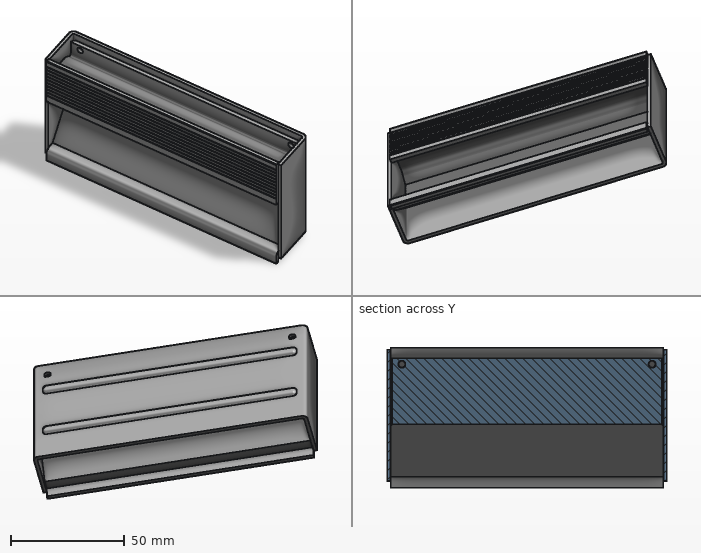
import cadquery as cq
import math


length = 123.7
bracket_height = 58.1
bracket_depth = 22.0
sheet = 1.6
bend_outer_radius = 2.4
bend_inner_radius = bend_outer_radius - sheet

rib_height = 1.6
rib_radius = 2.7
rib_end_radius = 1.7
rib_length = 114.8
rib_spacing = 26.0

profile_length = length - 2 * sheet
wall = 2.0
front_y = -23.6
profile_bottom = -3.0
profile_height = 62.0
profile_top = profile_bottom + profile_height
edge_chamfer = 0.31

rear_y = -sheet
rear_face_y = rear_y - wall
rear_top = 54.4
rear_corner_chamfer = 1.5

shelf_top = 48.6
valley_radius = 0.9
crest_radius = 6.9
crest_angle = math.radians(45)

panel_height = 25.0
panel_bottom = profile_top - panel_height
panel_back_y = front_y + wall
groove_count = 5
groove_width = 2.0
groove_pitch = 4.0
groove_depth = 0.31
first_groove_drop = 3.5

slope_top = 27.2
slope_foot_y = -18.4
lip_top = 4.0
lip_radius = 3.0

hole_diameter = 3.0
hole_spacing = 110.6
hole_z = 51.7


def make_rib(z):
    """Part of a round-ended bar at height z that stands proud of the back face."""
    bar = (
        cq.Workplane("YZ", origin=(0, rib_height - rib_radius, z))
        .circle(rib_radius)
        .extrude(rib_length / 2, both=True)
        .edges("%CIRCLE")
        .fillet(rib_end_radius)
    )
    proud_space = cq.Workplane("XY", origin=(0, rib_radius, z)).box(length, 2 * rib_radius, 3 * rib_radius)
    return bar.intersect(proud_space)


def make_hole_cutter():
    """Pair of cylinders through the rear wall and the back plate."""
    return (
        cq.Workplane("XZ", origin=(0, 0, hole_z))
        .pushPoints([(-hole_spacing / 2, 0), (hole_spacing / 2, 0)])
        .circle(hole_diameter / 2)
        .extrude(sheet + wall)
    )


def make_bracket():
    outer = (
        cq.Workplane("XY", origin=(0, -bracket_depth / 2, 0))
        .rect(length, bracket_depth)
        .extrude(bracket_height)
        .edges("|Z and >Y")
        .fillet(bend_outer_radius)
    )
    inside_depth = bracket_depth - sheet
    inner = (
        cq.Workplane("XY", origin=(0, -sheet - inside_depth / 2, 0))
        .rect(profile_length, inside_depth)
        .extrude(bracket_height)
        .edges("|Z and >Y")
        .fillet(bend_inner_radius)
    )
    bracket = outer.cut(inner)
    for side in (-1, 1):
        bracket = bracket.union(make_rib(bracket_height / 2 + side * rib_spacing / 2))
    return bracket.cut(make_hole_cutter())


def extrude_profile(sketch):
    """Extrude a closed YZ outline along the length, centred on X = 0."""
    return sketch.close().extrude(profile_length / 2, both=True)


def make_rear_wall_and_lip():
    """Rear wall, sloped face and front lip as one bent strip of constant thickness."""
    slope_angle = math.atan2(rear_face_y - slope_foot_y, slope_top - lip_top)
    rear_bend_drop = wall * math.tan(slope_angle / 2)
    foot_shift = wall * math.tan((math.pi / 2 - slope_angle) / 2)
    lip_arc_mid = lip_radius * (1 - math.sin(math.pi / 4))
    return extrude_profile(
        cq.Workplane("YZ")
        .moveTo(rear_y, rear_top)
        .lineTo(rear_face_y, rear_top)
        .lineTo(rear_face_y, slope_top)
        .lineTo(slope_foot_y, lip_top)
        .lineTo(front_y + lip_radius, lip_top)
        .threePointArc(
            (front_y + lip_arc_mid, lip_top - lip_arc_mid),
            (front_y, lip_top - lip_radius),
        )
        .lineTo(front_y, profile_bottom + edge_chamfer)
        .lineTo(front_y + edge_chamfer, profile_bottom)
        .lineTo(panel_back_y, profile_bottom)
        .lineTo(panel_back_y, lip_top - wall)
        .lineTo(slope_foot_y + foot_shift, lip_top - wall)
        .lineTo(rear_y, slope_top - rear_bend_drop)
    )


def make_shelf():
    """Shelf with a rounded valley against the rear wall and a rounded crest in front of it."""
    valley_y = rear_face_y - valley_radius
    joint_y = valley_y - valley_radius * math.sin(crest_angle)
    crest_y = joint_y - crest_radius * math.sin(crest_angle)
    crest_z = shelf_top - crest_radius
    joint_z = crest_z + crest_radius * math.cos(crest_angle)
    valley_z = joint_z + valley_radius * math.cos(crest_angle)
    valley_mid_angle = (crest_angle - math.pi / 2) / 2
    under_radius = crest_radius - wall

    def valley_point(angle):
        return (valley_y - valley_radius * math.sin(angle), valley_z - valley_radius * math.cos(angle))

    def crest_point(radius, angle):
        return (crest_y + radius * math.sin(angle), crest_z + radius * math.cos(angle))

    under_end_y, under_end_z = crest_point(under_radius, crest_angle)
    under_wall_z = under_end_z - (rear_face_y - under_end_y) * math.tan(crest_angle)
    return extrude_profile(
        cq.Workplane("YZ")
        .moveTo(rear_face_y, valley_z)
        .threePointArc(
            valley_point(valley_mid_angle),
            (joint_y, joint_z),
        )
        .threePointArc(crest_point(crest_radius, crest_angle / 2), (crest_y, shelf_top))
        .lineTo(panel_back_y, shelf_top)
        .lineTo(panel_back_y, shelf_top - wall)
        .lineTo(crest_y, shelf_top - wall)
        .threePointArc(crest_point(under_radius, crest_angle / 2), (under_end_y, under_end_z))
        .lineTo(rear_face_y, under_wall_z)
    )


def make_panel():
    """Front panel with horizontal grooves across its face."""
    panel = extrude_profile(
        cq.Workplane("YZ")
        .moveTo(panel_back_y, panel_bottom)
        .lineTo(front_y, panel_bottom)
        .lineTo(front_y, profile_top - edge_chamfer)
        .lineTo(front_y + edge_chamfer, profile_top)
        .lineTo(panel_back_y, profile_top)
    )
    for i in range(groove_count):
        groove_z = profile_top - first_groove_drop - groove_width / 2 - i * groove_pitch
        groove = cq.Workplane("XY", origin=(0, front_y, groove_z)).box(
            profile_length, 2 * groove_depth, groove_width
        )
        panel = panel.cut(groove)
    return panel


def make_front_profile():
    rear = make_rear_wall_and_lip().edges("|Z and >Y").chamfer(rear_corner_chamfer)
    return rear.union(make_shelf()).union(make_panel()).cut(make_hole_cutter())


bracket = make_bracket()
front_profile = make_front_profile()

result = cq.Compound.makeCompound([bracket.val(), front_profile.val()])